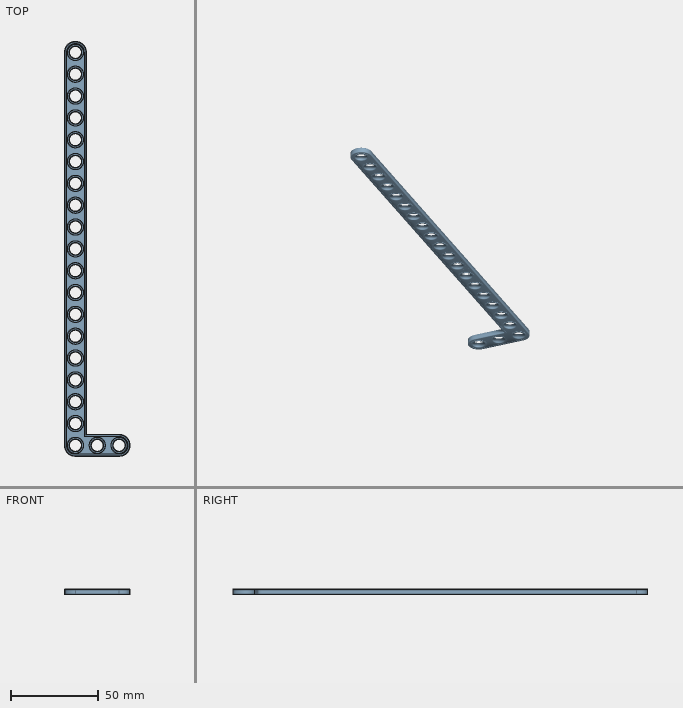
import cadquery as cq

length = 237.5
long_leg_holes = 19
short_leg_holes = 3
thickness = 3.0
hole_diameter = 7.0
collar_diameter = 9.3
rim_width = 1.2
recess_depth = 0.2
edge_radius = 0.35

pitch = length / long_leg_holes
end_radius = pitch / 2
long_span = (long_leg_holes - 1) * pitch
short_span = (short_leg_holes - 1) * pitch

long_leg_centres = [(0, i * pitch) for i in range(long_leg_holes)]
short_leg_centres = [(i * pitch, 0) for i in range(1, short_leg_holes)]
hole_centres = long_leg_centres + short_leg_centres


def make_l_plate(radius, height):
    """L-shaped plate whose outline lies the given radius away from the two leg centre lines."""
    return (
        cq.Workplane("XY")
        .moveTo(0, -radius)
        .lineTo(short_span, -radius)
        .threePointArc((short_span + radius, 0), (short_span, radius))
        .lineTo(radius, radius)
        .lineTo(radius, long_span)
        .threePointArc((0, long_span + radius), (-radius, long_span))
        .lineTo(-radius, 0)
        .radiusArc((0, -radius), -radius)
        .close()
        .extrude(height)
    )


def make_recess():
    """Shallow field inside the rim that leaves a collar standing around every hole."""
    field = make_l_plate(end_radius - rim_width, recess_depth)
    collars = (
        cq.Workplane("XY")
        .pushPoints(hole_centres)
        .circle(collar_diameter / 2)
        .extrude(recess_depth)
    )
    return field.cut(collars)


def make_hole_cutter():
    """Through hole that flares out with a rounded mouth at both faces."""
    hole_radius = hole_diameter / 2
    mouth_radius = hole_radius + edge_radius
    return (
        cq.Workplane("XZ")
        .lineTo(mouth_radius, 0)
        .radiusArc((hole_radius, edge_radius), edge_radius)
        .lineTo(hole_radius, thickness - edge_radius)
        .radiusArc((mouth_radius, thickness), edge_radius)
        .lineTo(0, thickness)
        .close()
        .revolve(360, (0, 0, 0), (0, 1, 0))
    )


result = make_l_plate(end_radius, thickness).faces("<Z or >Z").edges().fillet(edge_radius)

bottom_recess = make_recess()
top_recess = bottom_recess.translate((0, 0, thickness - recess_depth))
result = result.cut(bottom_recess).cut(top_recess)

hole_cutter = make_hole_cutter()
for x, y in hole_centres:
    result = result.cut(hole_cutter.translate((x, y, 0)))